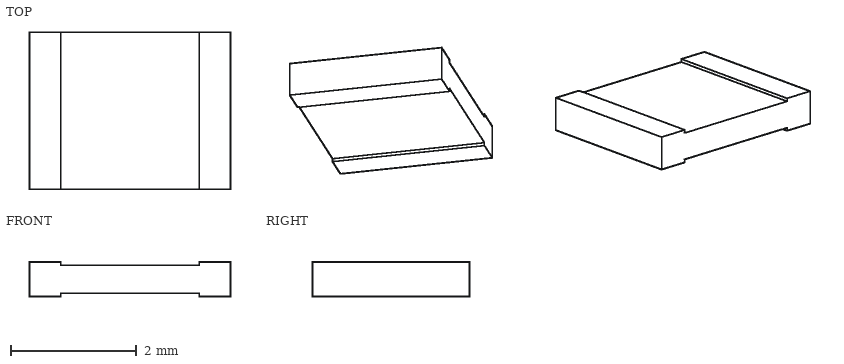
import cadquery as cq

length = 3.2
width = 2.5
height = 0.55

terminal_length = 0.5
terminal_step = 0.05

body_height = height - 2 * terminal_step
terminal_offset = (length - terminal_length) / 2

body = cq.Workplane("XY").box(length, width, body_height)

terminals = (
    cq.Workplane("XY")
    .pushPoints([(-terminal_offset, 0), (terminal_offset, 0)])
    .box(terminal_length, width, height)
)

result = body.union(terminals).clean()